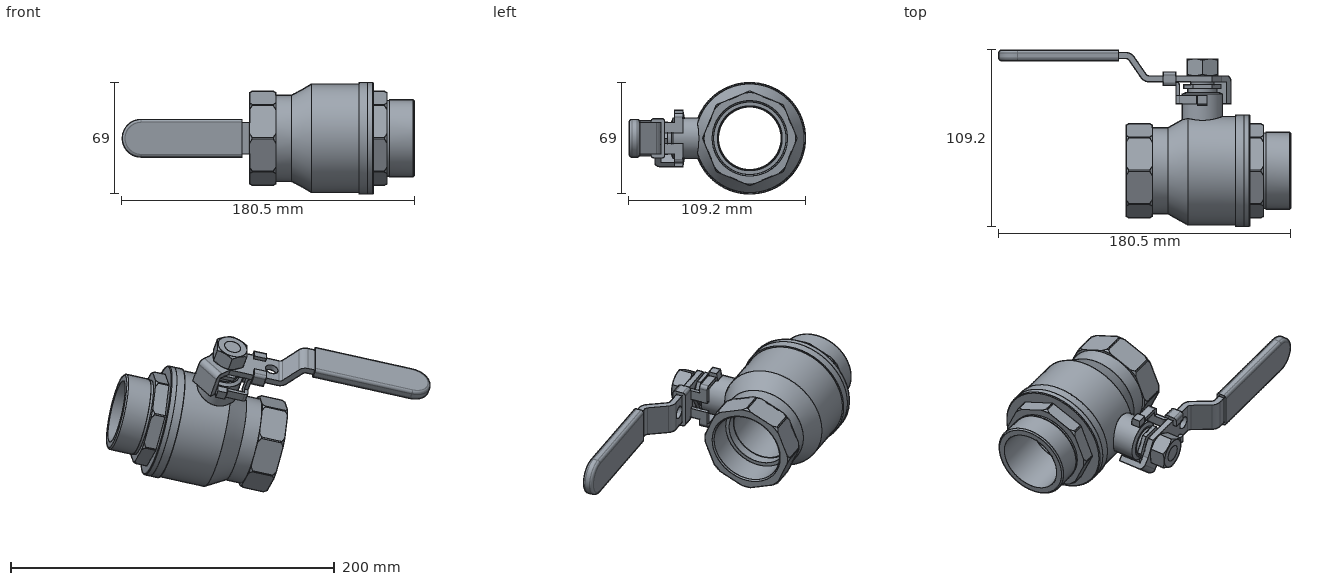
import cadquery as cq
import math


BALL_RADIUS = 62.0 / 2
BALL_BORE = 38.6
HOUSING_BORE = 40.0

HOUSING_START = -47.1
WRENCH_END = -30.9
CONE_START = -21.1
CONE_END = -8.8
FLANGE_START = 20.5
JOINT_X = 25.8
COLLAR_RADIUS = 26.7
BARREL_RADIUS = 33.5
FLANGE_RADIUS = 69.0 / 2
SOCKET_DIAMETER = 44.8
SOCKET_DEPTH = 17.5
SOCKET_CHAMFER = 0.9

OCTAGON_CORNERS = 58.5
OCTAGON_TURNED_RADIUS = 29.0
OCTAGON_FACE_RADIUS = 27.5
OCTAGON_CHAMFER = 0.9

CONNECTOR_END = 54.7
CONNECTOR_FLANGE_END = 29.5
CONNECTOR_WRENCH_END = 37.7
FLANGE_CHAMFER = 0.5
SPIGOT_LENGTH = 5.5
TUBE_RADIUS = 23.8
TUBE_CHAMFER = 0.9
RELIEF_RADIUS = 23.5
RELIEF_LENGTH = 1.6

NECK_RADIUS = 25.0 / 2
NECK_CROWN_RADIUS = 20.4 / 2
NECK_CROWN_START = 47.3
NECK_TOP = 48.4
LUG_HALF_WIDTH = 2.9
LUG_REACH = 17.3
LUG_TOP = 46.5
LUG_BOTTOM = 41.3
LUG_TOE_DROP = 0.9

STEM_RADIUS = 14.5 / 2
STEM_THREAD_RADIUS = 10.3 / 2
STEM_BOTTOM = 28.9
GLAND_RADIUS = 18.2 / 2
GLAND_TOP = 50.7
GLAND_NUT_FLATS = 20.0
GLAND_NUT_TOP = 53.2
HANDLE_NUT_FLATS = 19.0
HANDLE_NUT_HEIGHT = 10.5
HANDLE_NUT_FACE_RADIUS = 18.5 / 2
HANDLE_NUT_CHAMFER = 0.9
HANDLE_NUT_TURN = 30

HANDLE_THICKNESS = 3.8
HANDLE_WIDTH = 19.7
HANDLE_LOW = 54.9
HANDLE_RISE = 14.5
JOGGLE_START = -44.0
JOGGLE_END = -34.1
INNER_BEND = 2.5
OUTER_BEND = INNER_BEND + HANDLE_THICKNESS
PADLOCK_HOLE = 8.0
PADLOCK_HOLE_X = -28.2
SHOULDER_X = 6.0
WEB_CORNER_X = 11.7
STOP_TAB_DISTANCE = 17.0
STOP_TAB_WIDTH = 16.0
STOP_TAB_BOTTOM = 41.3
STOP_TAB_BEND = 3.6

GRIP_START = -125.8
GRIP_END = -51.8
GRIP_WIDTH = 23.5
GRIP_THICKNESS = 6.7
GRIP_FILLET = 1.8

LOCK_THICKNESS = 2.3
SLEEVE_START = -24.2
SLEEVE_END = -16.5
SLEEVE_LIP = 3.6
SLEEVE_ROUND = 1.8
LOCK_BEND = 2.2
LOCK_SLOT = 6.7
WING_TOP = 46.5
WING_BOTTOM = 41.3
WING_END = -3.6
WING_INNER = 12.8

SQRT2 = math.sqrt(2)
HANDLE_TOP = HANDLE_LOW + HANDLE_THICKNESS
HANDLE_NUT_TOP = HANDLE_TOP + HANDLE_NUT_HEIGHT
GRIP_RADIUS = GRIP_WIDTH / 2
GRIP_ARC_X = GRIP_START + GRIP_RADIUS
GRIP_MID_Y = HANDLE_LOW + HANDLE_RISE + HANDLE_THICKNESS / 2
LEG_OUTER_X = SLEEVE_END + LOCK_THICKNESS
SLEEVE_BACK = HANDLE_LOW - LOCK_THICKNESS


def x_cylinder(radius, start, end):
    return cq.Workplane("YZ").workplane(offset=start).circle(radius).extrude(end - start)


def y_cylinder(radius, bottom, top):
    return cq.Workplane("XZ").workplane(offset=-bottom).circle(radius).extrude(bottom - top)


def ball_sphere():
    """Sphere of the ball's size, its poles on the flow axis."""
    sphere = cq.Workplane("XY").sphere(BALL_RADIUS)
    return sphere.rotate((0, 0, 0), (0, 1, 0), 90)


def box(x_range, y_range, z_range):
    """Box between two limits along each axis."""
    limits = (x_range, y_range, z_range)
    size = [high - low for low, high in limits]
    corner = [low for low, high in limits]
    return cq.Workplane("XY").box(*size, centered=False).translate(tuple(corner))


def wrench_octagon(start, end, chamfer_start):
    """Octagon with its corners on Y and Z, turned down at the corners and chamfered at the ends."""
    prism = cq.Workplane("YZ").workplane(offset=start).polygon(8, OCTAGON_CORNERS).extrude(end - start)
    turned = x_cylinder(OCTAGON_TURNED_RADIUS, start, end)
    chamfer_width = OCTAGON_TURNED_RADIUS - OCTAGON_FACE_RADIUS
    ends = turned.faces("<X or >X") if chamfer_start else turned.faces(">X")
    turned = ends.edges().chamfer(chamfer_width, OCTAGON_CHAMFER)
    return prism.intersect(turned)


def hex_nut(flats, bottom, top, corner_angle, hole_radius):
    """Hexagon nut on the stem axis with one corner at corner_angle from +X."""
    corners = 2 * flats / math.sqrt(3)
    nut = cq.Workplane("XZ").workplane(offset=-bottom).polygon(6, corners).extrude(bottom - top)
    nut = nut.rotate((0, 0, 0), (0, 1, 0), corner_angle)
    return nut.cut(y_cylinder(hole_radius, bottom, top))


def make_handle_nut():
    """Hexagon nut with its corners on Z, chamfered round at both ends."""
    nut = hex_nut(HANDLE_NUT_FLATS, HANDLE_TOP, HANDLE_NUT_TOP, HANDLE_NUT_TURN, STEM_THREAD_RADIUS)
    corner_radius = HANDLE_NUT_FLATS / math.sqrt(3)
    turned = y_cylinder(corner_radius, HANDLE_TOP, HANDLE_NUT_TOP)
    chamfer_width = corner_radius - HANDLE_NUT_FACE_RADIUS
    turned = turned.faces("<Y").edges().chamfer(HANDLE_NUT_CHAMFER, chamfer_width)
    turned = turned.faces(">Y").edges().chamfer(HANDLE_NUT_CHAMFER, chamfer_width)
    return nut.intersect(turned)


def stop_lug():
    """Lug on the +Z side of the neck, with a sloping toe below it."""
    profile = [
        (0, LUG_TOP),
        (LUG_REACH, LUG_TOP),
        (LUG_REACH, LUG_BOTTOM),
        (NECK_RADIUS, LUG_BOTTOM - LUG_TOE_DROP),
        (0, LUG_BOTTOM - LUG_TOE_DROP),
    ]
    side = cq.Plane(origin=(LUG_HALF_WIDTH, 0, 0), xDir=(0, 0, 1), normal=(-1, 0, 0))
    return cq.Workplane(side).polyline(profile).close().extrude(2 * LUG_HALF_WIDTH)


def make_housing():
    barrel_profile = [
        (WRENCH_END, 0),
        (WRENCH_END, COLLAR_RADIUS),
        (CONE_START, COLLAR_RADIUS),
        (CONE_END, BARREL_RADIUS),
        (FLANGE_START, BARREL_RADIUS),
        (FLANGE_START, FLANGE_RADIUS),
        (JOINT_X, FLANGE_RADIUS),
        (JOINT_X, 0),
    ]
    barrel = cq.Workplane("XY").polyline(barrel_profile).close().revolve(360, (0, 0, 0), (1, 0, 0))
    neck = y_cylinder(NECK_RADIUS, 0, NECK_TOP)
    crown_width = NECK_RADIUS - NECK_CROWN_RADIUS
    neck = neck.faces(">Y").edges().chamfer(NECK_TOP - NECK_CROWN_START, crown_width)
    housing = barrel.union(wrench_octagon(HOUSING_START, WRENCH_END, True)).union(neck)
    lug = stop_lug()
    housing = housing.union(lug).union(lug.mirror("XY"))

    housing = housing.cut(x_cylinder(HOUSING_BORE / 2, HOUSING_START, 0))
    socket = x_cylinder(SOCKET_DIAMETER / 2, HOUSING_START, HOUSING_START + SOCKET_DEPTH)
    mouth_radius = SOCKET_DIAMETER / 2 + SOCKET_CHAMFER
    mouth_profile = [
        (HOUSING_START, 0),
        (HOUSING_START, mouth_radius),
        (HOUSING_START + mouth_radius, 0),
    ]
    mouth = cq.Workplane("XY").polyline(mouth_profile).close().revolve(360, (0, 0, 0), (1, 0, 0))
    housing = housing.cut(socket).cut(mouth)
    housing = housing.cut(ball_sphere())
    housing = housing.cut(x_cylinder(BALL_RADIUS, 0, JOINT_X))
    return housing.cut(y_cylinder(STEM_RADIUS, 0, NECK_TOP))


def make_end_connector():
    flange = x_cylinder(FLANGE_RADIUS, JOINT_X, CONNECTOR_FLANGE_END)
    flange = flange.faces(">X").edges().chamfer(FLANGE_CHAMFER)
    spigot = x_cylinder(BALL_RADIUS, JOINT_X - SPIGOT_LENGTH, JOINT_X)
    octagon = wrench_octagon(CONNECTOR_FLANGE_END, CONNECTOR_WRENCH_END, False)
    relief = x_cylinder(RELIEF_RADIUS, CONNECTOR_WRENCH_END, CONNECTOR_WRENCH_END + RELIEF_LENGTH)
    tube = x_cylinder(TUBE_RADIUS, CONNECTOR_WRENCH_END + RELIEF_LENGTH, CONNECTOR_END)
    tube = tube.faces(">X").edges().chamfer(TUBE_CHAMFER)
    connector = flange.union(spigot).union(octagon).union(relief).union(tube)
    connector = connector.cut(x_cylinder(BALL_BORE / 2, 0, CONNECTOR_END))
    return connector.cut(ball_sphere())


def make_ball():
    ball = ball_sphere()
    ball = ball.cut(x_cylinder(BALL_BORE / 2, -BALL_RADIUS, BALL_RADIUS))
    return ball.cut(y_cylinder(STEM_RADIUS, STEM_BOTTOM, BALL_RADIUS))


def make_stem():
    shank = y_cylinder(STEM_RADIUS, STEM_BOTTOM, HANDLE_LOW)
    return shank.union(y_cylinder(STEM_THREAD_RADIUS, HANDLE_LOW, HANDLE_NUT_TOP))


def make_gland():
    return y_cylinder(GLAND_RADIUS, NECK_TOP, GLAND_TOP).cut(y_cylinder(STEM_RADIUS, NECK_TOP, GLAND_TOP))


def handle_strip():
    """Side profile of the joggled strip, extruded to the handle width, with a round far end."""
    bend_angle = math.atan2(HANDLE_RISE, JOGGLE_END - JOGGLE_START)
    miter = HANDLE_THICKNESS * math.tan(bend_angle / 2)
    top_high = HANDLE_TOP + HANDLE_RISE
    low_high = HANDLE_LOW + HANDLE_RISE
    profile = [
        (GRIP_ARC_X, low_high),
        (JOGGLE_START - miter, low_high),
        (JOGGLE_END - miter, HANDLE_LOW),
        (SHOULDER_X, HANDLE_LOW),
        (SHOULDER_X, HANDLE_TOP),
        (JOGGLE_END, HANDLE_TOP),
        (JOGGLE_START, top_high),
        (GRIP_ARC_X, top_high),
    ]
    strip = cq.Workplane("XY").polyline(profile).close().extrude(HANDLE_WIDTH / 2, both=True)

    def bend_edge(x, y):
        return cq.selectors.NearestToPointSelector((x, y, 0))

    strip = strip.edges("|Z").edges(bend_edge(JOGGLE_END, HANDLE_TOP)).fillet(INNER_BEND)
    strip = strip.edges("|Z").edges(bend_edge(JOGGLE_START - miter, low_high)).fillet(INNER_BEND)
    strip = strip.edges("|Z").edges(bend_edge(JOGGLE_START, top_high)).fillet(OUTER_BEND)
    strip = strip.edges("|Z").edges(bend_edge(JOGGLE_END - miter, HANDLE_LOW)).fillet(OUTER_BEND)
    return strip.union(y_cylinder(HANDLE_WIDTH / 2, low_high, top_high).translate((GRIP_ARC_X, 0, 0)))


def stop_tab():
    """L-shaped tab bent down at the +X, -Z corner, its face at 45 degrees to X."""
    diagonal = cq.Plane(origin=(0, 0, 0), xDir=(1, 0, -1), normal=(1, 0, 1))
    inner = STOP_TAB_DISTANCE - HANDLE_THICKNESS
    profile = [
        (0, HANDLE_LOW),
        (inner, HANDLE_LOW),
        (inner, STOP_TAB_BOTTOM),
        (STOP_TAB_DISTANCE, STOP_TAB_BOTTOM),
        (STOP_TAB_DISTANCE, HANDLE_TOP),
        (0, HANDLE_TOP),
    ]
    tab = cq.Workplane(diagonal).polyline(profile).close().extrude(STOP_TAB_WIDTH / 2, both=True)
    outer_corner = (STOP_TAB_DISTANCE / SQRT2, HANDLE_TOP, -STOP_TAB_DISTANCE / SQRT2)
    return tab.edges(cq.selectors.NearestToPointSelector(outer_corner)).fillet(STOP_TAB_BEND)


def make_handle():
    edge_sum = STOP_TAB_WIDTH / SQRT2
    web = [
        (SHOULDER_X, HANDLE_WIDTH / 2),
        (WEB_CORNER_X, edge_sum - WEB_CORNER_X),
        (0, -edge_sum),
        (-edge_sum + HANDLE_WIDTH / 2, -HANDLE_WIDTH / 2),
        (0, 0),
    ]
    plate = cq.Workplane("XZ").workplane(offset=-HANDLE_LOW).polyline(web).close().extrude(-HANDLE_THICKNESS)
    strip = handle_strip()
    handle = strip.union(plate).union(stop_tab())
    hole = y_cylinder(PADLOCK_HOLE / 2, HANDLE_LOW, HANDLE_TOP).translate((PADLOCK_HOLE_X, 0, 0))
    return handle.cut(hole).cut(y_cylinder(STEM_THREAD_RADIUS, HANDLE_LOW, HANDLE_TOP))


def make_grip(handle):
    bottom = GRIP_MID_Y - GRIP_THICKNESS / 2
    outline = (
        cq.Workplane("XZ", origin=(0, bottom, 0))
        .moveTo(GRIP_END, -GRIP_RADIUS)
        .lineTo(GRIP_ARC_X, -GRIP_RADIUS)
        .threePointArc((GRIP_START, 0), (GRIP_ARC_X, GRIP_RADIUS))
        .lineTo(GRIP_END, GRIP_RADIUS)
        .close()
    )
    grip = outline.extrude(-GRIP_THICKNESS)
    grip = grip.faces("<Y or >Y").edges("not >X").fillet(GRIP_FILLET)
    return grip.cut(handle)


def make_lock():
    half_plate = HANDLE_WIDTH / 2
    half_outer = half_plate + LOCK_THICKNESS
    x_range = (SLEEVE_START, SLEEVE_END)
    sleeve = box(x_range, (SLEEVE_BACK, HANDLE_TOP + LOCK_THICKNESS), (-half_outer, half_outer))
    sleeve = sleeve.edges("|X").fillet(SLEEVE_ROUND)
    sleeve = sleeve.cut(box(x_range, (HANDLE_LOW, HANDLE_TOP), (-half_plate, half_plate)))
    half_gap = half_plate - SLEEVE_LIP
    sleeve = sleeve.cut(box(x_range, (HANDLE_LOW, HANDLE_TOP + LOCK_THICKNESS), (-half_gap, half_gap)))

    leg_x = (SLEEVE_END, LEG_OUTER_X)
    leg = box(leg_x, (WING_BOTTOM, HANDLE_LOW), (-half_plate, half_plate))
    leg = leg.edges("|Z and >X and >Y").fillet(LOCK_BEND)

    wing_outer = WING_INNER + LOCK_THICKNESS
    y_range = (WING_BOTTOM, WING_TOP)
    wings = box((SLEEVE_END, WING_END), y_range, (-wing_outer, wing_outer))
    wings = wings.edges("|Y and <X").fillet(LOCK_BEND)
    wings = wings.cut(box((LEG_OUTER_X, WING_END), y_range, (-WING_INNER, WING_INNER)))

    slot = box(leg_x, (WING_BOTTOM, SLEEVE_BACK), (-LOCK_SLOT / 2, LOCK_SLOT / 2))
    return sleeve.union(leg).union(wings).cut(slot)


housing = make_housing()
end_connector = make_end_connector()
ball = make_ball()
stem = make_stem()
gland = make_gland()
gland_nut = hex_nut(GLAND_NUT_FLATS, GLAND_TOP, GLAND_NUT_TOP, 0, STEM_RADIUS)
handle = make_handle()
handle_nut = make_handle_nut()
grip = make_grip(handle)
lock = make_lock()

result = cq.Compound.makeCompound([
    housing.val(),
    end_connector.val(),
    ball.val(),
    stem.val(),
    gland.val(),
    gland_nut.val(),
    handle.val(),
    handle_nut.val(),
    grip.val(),
    lock.val(),
])